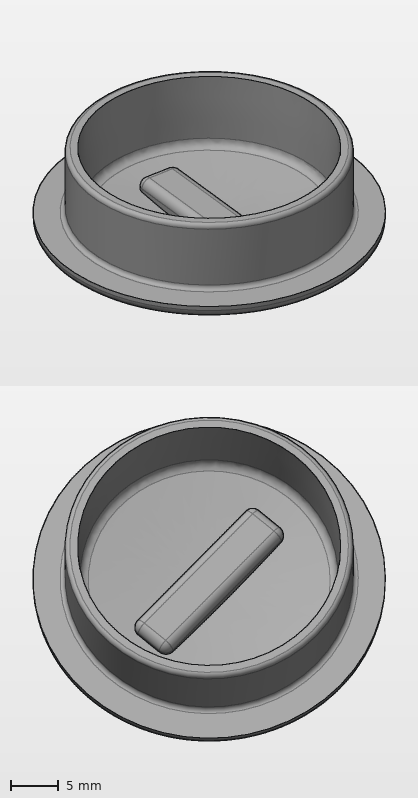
import cadquery as cq
import math


flange_radius = 18.5
flange_edge_height = 1.3
flange_edge_fillet = 1.0
dome_depth = 2.15

wall_height = 8.0
wall_outer_radius = 15.15
wall_mouth_radius = 13.8
floor_edge_radius = 13.5
wall_top_fillet = 0.5
wall_foot_fillet = 0.5

floor_thickness = 1.92
floor_fillet = 1.0

bar_length = 19.0
bar_width = 5.0
bar_top = 0.37
bar_fillet = 1.0

dome_bottom = -(flange_edge_height + dome_depth)
dome_radius = (flange_radius**2 + dome_depth**2) / (2 * dome_depth)
sphere_centre = dome_bottom + dome_radius
floor_radius = dome_radius - floor_thickness


def sphere_height(sphere_radius, distance):
    """Height of the lower half of a sphere at a distance from the Z axis."""
    return sphere_centre - math.sqrt(sphere_radius**2 - distance**2)


def sphere_point(sphere_radius, distance):
    return (distance, sphere_height(sphere_radius, distance))


def make_body():
    """Half section of the cap, turned around the Z axis."""
    section = (
        cq.Workplane("YZ")
        .moveTo(*sphere_point(dome_radius, 0))
        .threePointArc(sphere_point(dome_radius, flange_radius / 2), (flange_radius, -flange_edge_height))
        .lineTo(flange_radius, 0)
        .lineTo(wall_outer_radius, 0)
        .lineTo(wall_outer_radius, wall_height)
        .lineTo(wall_mouth_radius, wall_height)
        .lineTo(*sphere_point(floor_radius, floor_edge_radius))
        .threePointArc(sphere_point(floor_radius, floor_edge_radius / 2), sphere_point(floor_radius, 0))
        .close()
    )
    return section.revolve(360, (0, 0, 0), (0, 1, 0))


def fillet_circle(body, radius, height, fillet):
    """Round the circular edge with this radius at this height."""
    margin = 0.05
    reach = radius + margin
    edge_box = cq.selectors.BoxSelector(
        (-reach, -reach, height - margin), (reach, reach, height + margin), boundingbox=True
    )
    edges = body.edges(edge_box).edges(cq.selectors.RadiusNthSelector(-1))
    return body.newObject(edges.vals()).fillet(fillet)


def make_grip_bar():
    """Bar with rounded upright corners and top edges, reaching into the floor."""
    base = dome_bottom + floor_thickness / 2
    return (
        cq.Workplane("XY")
        .workplane(offset=base)
        .rect(bar_length, bar_width)
        .extrude(bar_top - base)
        .edges("|Z or >Z")
        .fillet(bar_fillet)
    )


floor_edge_height = sphere_height(floor_radius, floor_edge_radius)

body = make_body()
body = fillet_circle(body, flange_radius, -flange_edge_height, flange_edge_fillet)
body = fillet_circle(body, wall_outer_radius, 0, wall_foot_fillet)
body = fillet_circle(body, wall_outer_radius, wall_height, wall_top_fillet)
body = fillet_circle(body, floor_edge_radius, floor_edge_height, floor_fillet)

result = body.union(make_grip_bar())